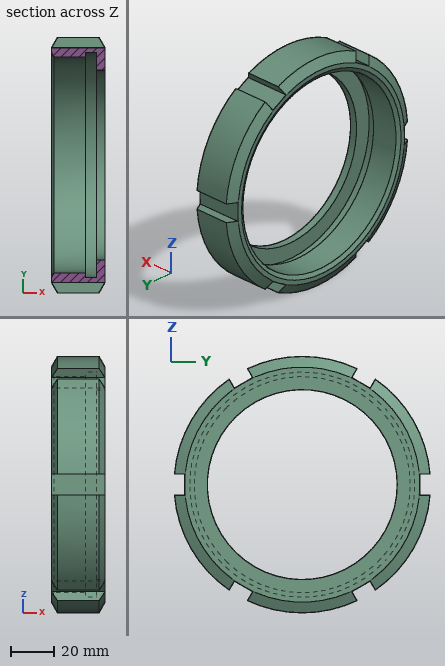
import cadquery as cq

width = 25.0
outer_diameter = 119.0
face_diameter = 109.0
rim_chamfer_width = 2.9

bore_diameter = 100.2
bore_mouth_diameter = 104.4
bore_chamfer_depth = 1.2
lip_diameter = 88.0
lip_thickness = 4.0
relief_diameter = 104.4
relief_width = 5.0

slot_count = 6
slot_width = 9.8
slot_floor_radius = 54.5


def ring_body():
    """Revolve the half section, drawn as (axial position, radius)."""
    outer = outer_diameter / 2
    face = face_diameter / 2
    bore = bore_diameter / 2
    mouth = bore_mouth_diameter / 2
    relief = relief_diameter / 2
    lip = lip_diameter / 2
    lip_start = width - lip_thickness
    relief_start = lip_start - relief_width
    section = [
        (0, mouth),
        (0, face),
        (rim_chamfer_width, outer),
        (width - rim_chamfer_width, outer),
        (width, face),
        (width, lip),
        (lip_start, lip),
        (lip_start, relief),
        (relief_start, relief),
        (relief_start, bore),
        (bore_chamfer_depth, bore),
    ]
    return cq.Workplane("XY").polyline(section).close().revolve(360, (0, 0, 0), (1, 0, 0))


def spanner_slot(angle):
    """Flat-floored cutter through the full width, turned about the ring axis from +Y."""
    cutter = cq.Workplane("XY").box(width, outer_diameter / 2, slot_width, centered=(False, False, True))
    cutter = cutter.translate((0, slot_floor_radius, 0))
    return cutter.rotate((0, 0, 0), (1, 0, 0), angle)


result = ring_body()
for index in range(slot_count):
    result = result.cut(spanner_slot(index * 360 / slot_count))
result = result.translate((-width / 2, 0, 0))